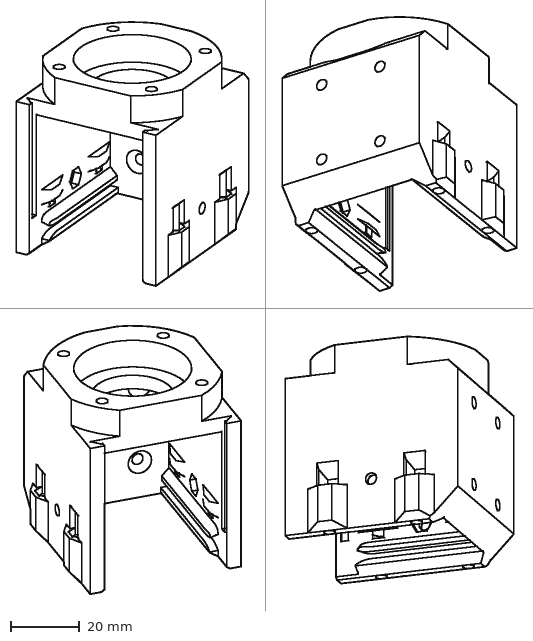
import cadquery as cq
import math

height = 56.6
body_width = 47.0
half_width = body_width / 2
front_y = -26.6
back_y = 26.9
wall = 4.5
inner_x = half_width - wall
back_wall = 6.9
plate_front_y = -22.7
shoulder_z = 48.05
plate_bottom_z = 43.35
top_back_chamfer = 3.0
bottom_back_chamfer = 9.0
foot_chamfer_width = 1.0
foot_chamfer_height = 0.7
reach = 113.2

flange_radius = 26.05
flange_back_y = 25.55
seat_diameter = 34.2
bore_diameter = 24.0
ledge_z = 47.85
flange_hole_offset = 15.5
flange_hole_diameter = 3.4

screw_diameter = 3.4
back_screw_pitch_x = 19.9
back_screw_rows = (13.7, 38.7)
countersink_diameter = 7.25
cross_screw_z = 14.4

nut_corners = 6.55
nut_thickness = 2.4

housing_offset_y = 13.5
housing_base = 12.2
housing_face = 4.4
boss_height = 13.4
boss_projection = 2.25
bump_top_z = 18.25
bump_projection = 1.2
nut_depth = 1.75
pocket_outer_z = 21.05
pocket_inner_z = 17.15

groove_depth = 2.95
groove_lip = 0.6
groove_bottom_z = 11.3

rail_front_y = -19.6
rail_straight_y = -14.7
rail_back_y = back_y - back_wall
lower_rail_projection = 2.6
lower_rail_top_z = 4.1
lower_rail_front_z = 2.65
upper_rail_projection = 2.25
upper_rail_bottom_z = 6.4
upper_rail_face_z = 7.8
upper_rail_wall_z = upper_rail_face_z + upper_rail_projection
upper_nose_setback = 0.45
upper_wall_tip = (rail_front_y, 8.0)
upper_face_tip = (rail_front_y + upper_nose_setback, 7.1)


def prism_x(points, x_start, x_end):
    """Prism along X with an outline of (y, z) points."""
    return cq.Workplane("YZ").polyline(points).close().extrude(x_end - x_start).translate((x_start, 0, 0))


def prism_y(points, y_start, y_end):
    """Prism along Y with an outline of (x, z) points."""
    outline = cq.Workplane("XZ").polyline(points).close()
    return outline.extrude(y_start - y_end).translate((0, y_start, 0))


def prism_z(points, z_start, z_end):
    """Prism along Z with an outline of (x, y) points."""
    return cq.Workplane("XY").workplane(offset=z_start).polyline(points).close().extrude(z_end - z_start)


def box(x_start, x_end, y_start, y_end, z_start, z_end):
    size = (x_end - x_start, y_end - y_start, z_end - z_start)
    return cq.Workplane("XY").box(*size, centered=False).translate((x_start, y_start, z_start))


def both_sides(shape):
    """The -X shape together with its mirror image on the +X side."""
    return shape.union(shape.mirror("YZ"))


def body():
    side_outline = [
        (front_y, 0),
        (back_y - bottom_back_chamfer, 0),
        (back_y, bottom_back_chamfer),
        (back_y, shoulder_z - top_back_chamfer),
        (back_y - top_back_chamfer, shoulder_z),
        (front_y, shoulder_z),
    ]
    block = prism_x(side_outline, -half_width, half_width)
    inside = box(-inner_x, inner_x, front_y, back_y - back_wall, 0, plate_bottom_z)
    front_gap = box(-inner_x, inner_x, front_y, plate_front_y, 0, height)
    foot = prism_y(
        [(-inner_x - foot_chamfer_width, 0), (-inner_x, 0), (-inner_x, foot_chamfer_height)],
        front_y, back_y,
    )
    return block.cut(inside).cut(front_gap).cut(both_sides(foot))


def flange():
    disc = cq.Workplane("XY").workplane(offset=plate_bottom_z).circle(flange_radius)
    limits = box(-half_width, half_width, plate_front_y, flange_back_y, plate_bottom_z, height)
    return disc.extrude(height - plate_bottom_z).intersect(limits)


def flange_openings():
    bore = cq.Workplane("XY").workplane(offset=plate_bottom_z).circle(bore_diameter / 2).extrude(reach)
    seat = cq.Workplane("XY").workplane(offset=ledge_z).circle(seat_diameter / 2).extrude(reach)
    holes = (
        cq.Workplane("XY").workplane(offset=plate_bottom_z)
        .rect(2 * flange_hole_offset, 2 * flange_hole_offset, forConstruction=True).vertices()
        .circle(flange_hole_diameter / 2).extrude(reach)
    )
    return bore.union(seat).union(holes)


def back_screw_holes():
    hole_radius = screw_diameter / 2
    rim_radius = countersink_diameter / 2
    sink_depth = rim_radius - hole_radius
    half_section = [
        (0, 0),
        (rim_radius, 0),
        (hole_radius, sink_depth),
        (hole_radius, back_wall),
        (0, back_wall),
    ]
    hole = cq.Workplane("XY").polyline(half_section).close().revolve(360, (0, 0), (0, 1))
    hole = hole.translate((0, back_y - back_wall, 0))
    holes = cq.Workplane("XY")
    for z in back_screw_rows:
        for side in (-1, 1):
            holes = holes.union(hole.translate((side * back_screw_pitch_x / 2, 0, z)))
    return holes


def cross_screw():
    """Screw hole through one side wall with a nut recess on the inside."""
    at_wall = cq.Workplane("YZ").center(0, cross_screw_z)
    hole = at_wall.circle(screw_diameter / 2).extrude(-half_width)
    nut = at_wall.polygon(6, nut_corners).extrude(-inner_x - nut_thickness)
    return hole.union(nut)


def housing_plan(wall_x, face_x):
    return [
        (wall_x, -housing_base / 2),
        (face_x, -housing_face / 2),
        (face_x, housing_face / 2),
        (wall_x, housing_base / 2),
    ]


def nut_housing():
    """Outer boss and inner bump, each with one end sloping into the wall."""
    boss_x = -half_width - boss_projection
    boss = prism_z(housing_plan(-half_width, boss_x), 0, boss_height)
    boss_side = [
        (-half_width, 0),
        (boss_x, boss_projection),
        (boss_x, boss_height),
        (-half_width, boss_height),
    ]
    boss = boss.intersect(prism_y(boss_side, -housing_base, housing_base))

    bump_x = -inner_x + bump_projection
    bump = prism_z(housing_plan(-inner_x, bump_x), boss_height, bump_top_z)
    bump_side = [
        (-inner_x, boss_height),
        (bump_x, boss_height),
        (bump_x, bump_top_z - bump_projection),
        (-inner_x, bump_top_z),
    ]
    bump = bump.intersect(prism_y(bump_side, -housing_base, housing_base))
    return boss, bump


def nut_pocket():
    """Nut seat just breaking through the wall, side entry under a sloping roof, and vertical screw hole."""
    nut_x = -half_width + nut_depth
    nut_inner_x = nut_x + nut_corners / 2 * math.cos(math.pi / 6)
    entry_x = -half_width - boss_projection
    seat_z = boss_height - nut_thickness
    seat = cq.Workplane("XY").workplane(offset=seat_z).polygon(6, nut_corners).extrude(reach)
    seat = seat.rotate((0, 0, 0), (0, 0, 1), 30).translate((nut_x, 0, 0))
    entry = box(entry_x, nut_x, -nut_corners / 2, nut_corners / 2, boss_height, reach)
    roof_slope = (pocket_outer_z - pocket_inner_z) / (nut_inner_x + half_width)
    under_roof = [
        (entry_x, 0),
        (nut_inner_x, 0),
        (nut_inner_x, pocket_inner_z),
        (entry_x, pocket_outer_z + roof_slope * boss_projection),
    ]
    pocket = seat.union(entry).intersect(prism_y(under_roof, -nut_corners, nut_corners))
    screw = cq.Workplane("XY").circle(screw_diameter / 2).extrude(boss_height).translate((nut_x, 0, 0))
    return pocket.union(screw)


def cover_groove():
    width = groove_depth - groove_lip
    outline = [
        (-inner_x, plate_front_y),
        (-inner_x - groove_depth, plate_front_y),
        (-inner_x - groove_lip, plate_front_y - width),
        (-inner_x, plate_front_y - width),
    ]
    return prism_z(outline, groove_bottom_z, shoulder_z)


def arc_middle(straight, tip):
    """Halfway point of an arc that leaves `straight` along Y and ends at `tip`."""
    run = straight[0] - tip[0]
    rise = tip[1] - straight[1]
    radius = (run ** 2 + rise ** 2) / (2 * rise)
    half_angle = math.atan2(rise, run)
    return (
        straight[0] - radius * math.sin(half_angle),
        straight[1] + radius * (1 - math.cos(half_angle)),
    )


def lower_rail():
    """Rail whose underside continues the slope of the foot chamfer."""
    foot_slope = foot_chamfer_height / foot_chamfer_width
    edge_z = foot_chamfer_height + foot_slope * lower_rail_projection
    section = [
        (-inner_x, foot_chamfer_height),
        (-inner_x + lower_rail_projection, edge_z),
        (-inner_x + lower_rail_projection, lower_rail_top_z),
        (-inner_x, lower_rail_top_z),
    ]
    rail = prism_y(section, rail_front_y, rail_back_y)
    straight = (rail_straight_y, lower_rail_top_z)
    tip = (rail_front_y, lower_rail_front_z)
    lead_in = (
        cq.Workplane("YZ").workplane(offset=-inner_x).moveTo(*straight)
        .threePointArc(arc_middle(straight, tip), tip)
        .lineTo(rail_front_y, lower_rail_top_z).close()
        .extrude(lower_rail_projection)
    )
    return rail.cut(lead_in)


def upper_rail_outline(plane, tip, top_z):
    """Rail outline with a flared underside and a rounded nose meeting at the tip."""
    straight = (rail_straight_y, upper_rail_bottom_z)
    return (
        plane.moveTo(rail_back_y, upper_rail_bottom_z).lineTo(*straight)
        .threePointArc(arc_middle(straight, tip), tip)
        .spline([(rail_straight_y, top_z)], tangents=[(0, 1), (1, 0)], includeCurrent=True)
        .lineTo(rail_back_y, top_z).close()
    )


def upper_rail():
    at_wall = cq.Workplane("YZ").workplane(offset=-inner_x)
    wall_outline = upper_rail_outline(at_wall, upper_wall_tip, upper_rail_wall_z)
    at_face = wall_outline.workplane(offset=upper_rail_projection)
    return upper_rail_outline(at_face, upper_face_tip, upper_rail_face_z).loft(ruled=True)


result = body().union(flange()).cut(flange_openings()).cut(back_screw_holes())
result = result.union(both_sides(lower_rail())).union(both_sides(upper_rail()))
result = result.cut(both_sides(cover_groove())).cut(both_sides(cross_screw()))

below_chamfer = prism_x(
    [(back_y - bottom_back_chamfer, 0), (back_y, 0), (back_y, bottom_back_chamfer)], -reach, reach
)
for y in (-housing_offset_y, housing_offset_y):
    for housing in nut_housing():
        result = result.union(both_sides(housing.translate((0, y, 0))))
    result = result.cut(both_sides(nut_pocket().translate((0, y, 0))))
result = result.cut(below_chamfer)